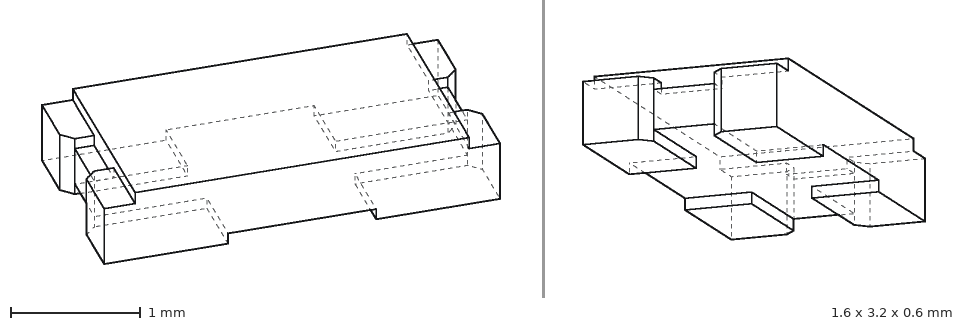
import cadquery as cq

width = 1.6
length = 3.2
height = 0.6

plate = 0.093
terminal_width = 0.55
terminal_height = 0.502
foot_length = 1.0
corner_chamfer = plate

core_length = length - 2 * plate
core_thickness = 0.32
core_top = plate + core_thickness
cover_length = 2.7


def block(size_x, size_y, bottom, top):
    """Box centred on X and Y between two heights."""
    box = cq.Workplane("XY").box(size_x, size_y, top - bottom, centered=(True, True, False))
    return box.translate((0, 0, bottom))


def make_terminal():
    """Terminal at the -X, -Y corner, with its inner end corner chamfered."""
    outer_x = -width / 2
    outer_y = -length / 2
    inner_x = outer_x + terminal_width
    foot_end = outer_y + foot_length
    terminal = (
        cq.Workplane("XY")
        .moveTo(outer_x, outer_y)
        .lineTo(inner_x - corner_chamfer, outer_y)
        .lineTo(inner_x, outer_y + corner_chamfer)
        .lineTo(inner_x, foot_end)
        .lineTo(outer_x, foot_end)
        .close()
        .extrude(terminal_height)
    )
    above_core = block(width, cover_length, core_top, height)
    core_space = block(width, core_length, plate, core_top)
    return terminal.cut(above_core).cut(core_space)


core = block(width, core_length, plate, core_top)
cover = block(width, cover_length, core_top, height)
result = core.union(cover)

terminal = make_terminal()
terminal_mirrored = terminal.mirror("YZ")
for corner in (terminal, terminal_mirrored):
    result = result.union(corner).union(corner.mirror("XZ"))